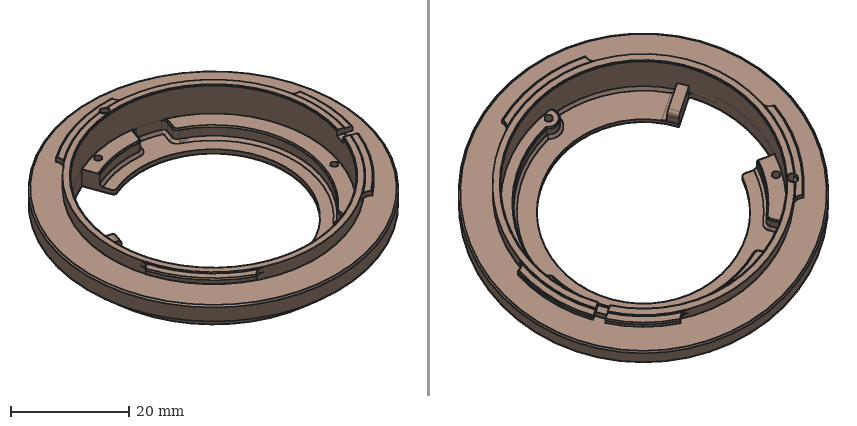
import cadquery as cq
import math

FLANGE_RADIUS = 31.25
FLANGE_TOP = 7.4
FLANGE_EDGE_CHAMFER = 0.3
CONE_HEIGHT = 4.0
BASE_RADIUS = FLANGE_RADIUS - CONE_HEIGHT
COLLAR_RADIUS = 25.5
COLLAR_TOP = 10.05
WALL_RADIUS = 48.25 / 2
MID_COLLAR_RADIUS = (WALL_RADIUS + COLLAR_RADIUS) / 2
MOUTH_CHAMFER = 0.2
BORE_RADIUS = 18.0

FLOOR_Z = 1.0
LEDGE_Z = 3.75
RECESS_FOOT_CHAMFER = 0.55
LEDGE_EDGE_CHAMFER = 0.25
NARROW_RADIUS = 20.9
WIDE_RADIUS = 21.95
STEP_START_ANGLE = 55.2
STEP_END_ANGLE = 58.0
BAY_TOP_Y = 3.3
BAY_BOTTOM_Y = -2.8
BAY_MOUTH_RADIUS = 0.95
BAY_CORNER_RADIUS = 0.75

SCREW_HOLE_DIAMETER = 1.4
SCREW_CIRCLE_RADIUS = 23.05
SCREW_ANGLES = (90.0, 210.0, 330.0)
BOSS_ANGLE = -30.0
BOSS_RADIUS = 1.95

OPENING_ANGLE = 219.5
OPENING_CORNER_RADIUS = 0.6
BAR_HALF_WIDTH = 1.05
BAR_FILLET_RADIUS = 0.95
BAR_ROOT_RADIUS = 0.45
BAR_ROOT_ANGLE = 270 - math.degrees(math.asin(BAR_HALF_WIDTH / WALL_RADIUS))

LUG_ANGLES = ((54.4, 119.4), (192.0, 231.3), (307.4, 348.0))
LUG_RADIUS = 27.1
LUG_BOTTOM = 8.8
LUG_TOP = 9.9
LUG_EDGE_CHAMFER = 0.25
LUG_ROOT_STEP = COLLAR_TOP - LUG_TOP
NOTCH_WIDTH = 2.1

PIN_HOLE_DIAMETER = 1.75
PIN_HOLE_X = -23.9
PIN_HOLE_Y = -8.25


def polar(radius, angle):
    """Point at a radius and an angle in degrees."""
    turn = math.radians(angle)
    return (radius * math.cos(turn), radius * math.sin(turn))


def on_circle(radius, offset):
    """Positive coordinate of a circle point whose other coordinate is offset."""
    return math.sqrt(radius**2 - offset**2)


def arc_to(path, radius, start, end):
    """Extend a path along a circle about the Z axis."""
    return path.threePointArc(polar(radius, (start + end) / 2), polar(radius, end))


def cylinder(radius, bottom, top):
    return cq.Workplane("XY").workplane(offset=bottom).circle(radius).extrude(top - bottom)


def make_body():
    """Coned flange with a collar, hollow above the ledge and bored through."""
    rim = FLANGE_RADIUS - FLANGE_EDGE_CHAMFER
    return (
        cq.Workplane("XZ")
        .moveTo(BORE_RADIUS, 0)
        .lineTo(BASE_RADIUS, 0)
        .lineTo(FLANGE_RADIUS, CONE_HEIGHT)
        .lineTo(FLANGE_RADIUS, FLANGE_TOP - FLANGE_EDGE_CHAMFER)
        .lineTo(rim, FLANGE_TOP)
        .lineTo(COLLAR_RADIUS, FLANGE_TOP)
        .lineTo(COLLAR_RADIUS, COLLAR_TOP)
        .lineTo(WALL_RADIUS + MOUTH_CHAMFER, COLLAR_TOP)
        .lineTo(WALL_RADIUS, COLLAR_TOP - MOUTH_CHAMFER)
        .lineTo(WALL_RADIUS, LEDGE_Z)
        .lineTo(BORE_RADIUS, LEDGE_Z)
        .close()
        .revolve(360, (0, 0), (0, 1))
    )


def boss_half_angle(radius):
    """Angle from the boss centre to where its edge crosses a circle about Z."""
    cosine = (radius**2 + SCREW_CIRCLE_RADIUS**2 - BOSS_RADIUS**2) / (2 * radius * SCREW_CIRCLE_RADIUS)
    return math.degrees(math.acos(cosine))


def upright_edges_near(x, y, reach=0.6):
    """Selector for the upright edges below the ledge that stand close to a point."""
    box = cq.selectors.BoxSelector((x - reach, y - reach, 0), (x + reach, y + reach, LEDGE_Z))
    return cq.selectors.AndSelector(cq.selectors.ParallelDirSelector(cq.Vector(0, 0, 1)), box)


def bay_edges(radius):
    """Selector for the two upright bay edges that stand on a circle about Z."""
    corners = [(-on_circle(radius, y), y) for y in (BAY_TOP_Y, BAY_BOTTOM_Y)]
    return cq.selectors.SumSelector(*[upright_edges_near(*corner) for corner in corners])


def make_recess():
    """Cutter for the stepped recess, with a sloped foot and a chamfered top edge."""
    boss_start = BOSS_ANGLE - boss_half_angle(WALL_RADIUS)
    boss_end = BOSS_ANGLE + boss_half_angle(WIDE_RADIUS)
    boss_inner_point = polar(SCREW_CIRCLE_RADIUS - BOSS_RADIUS, BOSS_ANGLE)
    bay_top_angle = 180 - math.degrees(math.asin(BAY_TOP_Y / NARROW_RADIUS))
    bay_bottom_angle = 180 - math.degrees(math.asin(BAY_BOTTOM_Y / NARROW_RADIUS))
    first_angle = OPENING_ANGLE + 0.75 * (BAR_ROOT_ANGLE - OPENING_ANGLE)
    last_angle = OPENING_ANGLE + 0.5 * (BAR_ROOT_ANGLE - OPENING_ANGLE)

    outline = cq.Workplane("XY").workplane(offset=FLOOR_Z).moveTo(*polar(WALL_RADIUS, first_angle))
    outline = arc_to(outline, WALL_RADIUS, first_angle, boss_start + 360)
    outline = outline.threePointArc(boss_inner_point, polar(WIDE_RADIUS, boss_end))
    outline = arc_to(outline, WIDE_RADIUS, boss_end, STEP_START_ANGLE)
    outline = outline.lineTo(*polar(NARROW_RADIUS, STEP_END_ANGLE))
    outline = arc_to(outline, NARROW_RADIUS, STEP_END_ANGLE, bay_top_angle)
    outline = outline.lineTo(-on_circle(WALL_RADIUS, BAY_TOP_Y), BAY_TOP_Y)
    outline = outline.threePointArc(
        (-WALL_RADIUS, 0), (-on_circle(WALL_RADIUS, BAY_BOTTOM_Y), BAY_BOTTOM_Y)
    )
    outline = outline.lineTo(*polar(NARROW_RADIUS, bay_bottom_angle))
    outline = arc_to(outline, NARROW_RADIUS, bay_bottom_angle, last_angle).close()

    straight_height = LEDGE_Z - LEDGE_EDGE_CHAMFER - FLOOR_Z
    recess = outline.extrude(straight_height)
    recess = recess.edges(bay_edges(NARROW_RADIUS)).fillet(BAY_MOUTH_RADIUS)
    recess = recess.edges(bay_edges(WALL_RADIUS)).fillet(BAY_CORNER_RADIUS)
    flare = recess.faces(">Z").wires().toPending().workplane().extrude(
        LEDGE_EDGE_CHAMFER, combine=False, taper=-45
    )
    recess = recess.faces("<Z").edges().chamfer(RECESS_FOOT_CHAMFER)
    return recess.union(flare).intersect(cylinder(WALL_RADIUS, 0, LEDGE_Z))


def make_opening():
    """Cutter for the gap in the floor between the ledge end and the bar."""
    bar_root = polar(WALL_RADIUS, BAR_ROOT_ANGLE)
    path = cq.Workplane("XY").moveTo(*polar(BORE_RADIUS, OPENING_ANGLE))
    path = path.lineTo(*polar(WALL_RADIUS, OPENING_ANGLE))
    path = arc_to(path, WALL_RADIUS, OPENING_ANGLE, BAR_ROOT_ANGLE)
    path = path.lineTo(-BAR_HALF_WIDTH, OPENING_CORNER_RADIUS - BORE_RADIUS)
    opening = path.close().extrude(LEDGE_Z)
    return opening.edges(upright_edges_near(*bar_root)).fillet(BAR_ROOT_RADIUS)


def make_bar():
    """Radial bar with a rounded inner end and a fillet onto the floor on its right side."""
    foot_reach = BAR_FILLET_RADIUS * (1 - math.sqrt(0.5))
    bar = (
        cq.Workplane("XZ")
        .workplane(offset=BORE_RADIUS)
        .moveTo(-BAR_HALF_WIDTH, 0)
        .lineTo(BAR_HALF_WIDTH + BAR_FILLET_RADIUS, 0)
        .lineTo(BAR_HALF_WIDTH + BAR_FILLET_RADIUS, FLOOR_Z)
        .threePointArc(
            (BAR_HALF_WIDTH + foot_reach, FLOOR_Z + foot_reach),
            (BAR_HALF_WIDTH, FLOOR_Z + BAR_FILLET_RADIUS),
        )
        .lineTo(BAR_HALF_WIDTH, LEDGE_Z)
        .lineTo(-BAR_HALF_WIDTH, LEDGE_Z)
        .close()
        .extrude(MID_COLLAR_RADIUS - BORE_RADIUS)
    )
    return bar.faces(">Z").edges(">Y").fillet(BAR_FILLET_RADIUS)


def make_lug_plan(start, end):
    """Sector whose ends sweep into the collar along concave arcs."""
    reach = LUG_RADIUS - COLLAR_RADIUS
    sweep = math.degrees(reach / COLLAR_RADIUS)
    mid_radius = LUG_RADIUS - reach * math.sqrt(0.5)
    mid_sweep = sweep * (1 - math.sqrt(0.5))
    path = cq.Workplane("XY").moveTo(*polar(LUG_RADIUS, start))
    path = arc_to(path, LUG_RADIUS, start, end)
    path = path.threePointArc(polar(mid_radius, end + mid_sweep), polar(COLLAR_RADIUS, end + sweep))
    path = path.lineTo(*polar(MID_COLLAR_RADIUS, end + sweep))
    path = arc_to(path, MID_COLLAR_RADIUS, end + sweep, start - sweep)
    path = path.lineTo(*polar(COLLAR_RADIUS, start - sweep))
    path = path.threePointArc(polar(mid_radius, start - mid_sweep), polar(LUG_RADIUS, start))
    return path.close().extrude(COLLAR_TOP)


def make_lugs():
    """Three sectors of a chamfered ring that sits just below the collar top."""
    ring = (
        cq.Workplane("XZ")
        .moveTo(COLLAR_RADIUS, LUG_BOTTOM)
        .lineTo(LUG_RADIUS, LUG_BOTTOM)
        .lineTo(LUG_RADIUS, LUG_TOP - LUG_EDGE_CHAMFER)
        .lineTo(LUG_RADIUS - LUG_EDGE_CHAMFER, LUG_TOP)
        .lineTo(COLLAR_RADIUS + LUG_ROOT_STEP, LUG_TOP)
        .lineTo(COLLAR_RADIUS, COLLAR_TOP)
        .close()
        .revolve(360, (0, 0), (0, 1))
    )
    plans = cq.Workplane("XY")
    for start, end in LUG_ANGLES:
        plans = plans.add(make_lug_plan(start, end))
    return ring.intersect(plans.combine())


def make_notch():
    """Slot across the rear lug and the collar, down to the lug underside."""
    return (
        cq.Workplane("XY")
        .workplane(offset=LUG_BOTTOM)
        .center(0, (BORE_RADIUS + FLANGE_RADIUS) / 2)
        .rect(NOTCH_WIDTH, FLANGE_RADIUS - BORE_RADIUS)
        .extrude(COLLAR_TOP - LUG_BOTTOM)
    )


def make_screw_holes():
    """Three through holes in the ledge and the boss."""
    points = [polar(SCREW_CIRCLE_RADIUS, angle) for angle in SCREW_ANGLES]
    return cq.Workplane("XY").pushPoints(points).circle(SCREW_HOLE_DIAMETER / 2).extrude(LEDGE_Z)


def make_pin_hole():
    """Hole through the lug that leaves a groove in the collar down to the flange."""
    return cylinder(PIN_HOLE_DIAMETER / 2, FLANGE_TOP, COLLAR_TOP).translate((PIN_HOLE_X, PIN_HOLE_Y, 0))


result = make_body().cut(make_recess()).cut(make_opening())
result = result.edges(upright_edges_near(*polar(BORE_RADIUS, OPENING_ANGLE))).fillet(OPENING_CORNER_RADIUS)
result = result.union(make_bar()).cut(make_screw_holes())

lugs = make_lugs()
for cutter in (make_notch(), make_pin_hole()):
    result = result.cut(cutter)
    lugs = lugs.cut(cutter)
result = result.union(lugs, clean=False).solids()